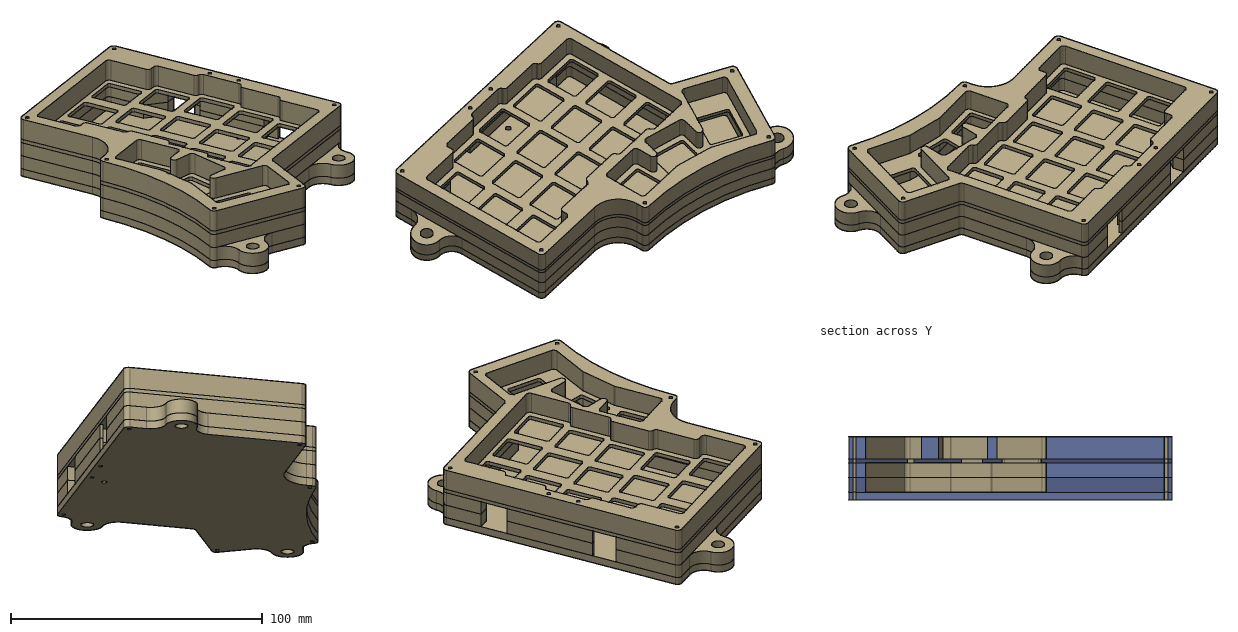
import cadquery as cq
import math

base_height = 3.2
ring_height = 5.8
plate_height = 1.5
bezel_height = 8.9
lower_ring_bottom = base_height
upper_ring_bottom = lower_ring_bottom + ring_height
plate_bottom = upper_ring_bottom + ring_height
bezel_bottom = plate_bottom + plate_height

block_width = 105.2
block_depth = 74.7
wing_tilt = 30
wing_left = 45.6
wing_bottom = -16.5
wing_across = 110.0
wing_along_low = 24.3
wing_along_high = 68.0
front_radius = 110.2
elbow_radius = 12.0
corner_radius = 2.0

key_pitch = 19.0
key_rows = 3
stagger = key_pitch / 8
column_drops = [3, 1, 0, 1, 2]
wall = 4.8
well_clearance = 0.1
well_radius = 1.5
riser_lean = 0.8
window_width = 15.5
window_depth = 14.1
window_radius = 1.0

thumb_keys = [
    ((59.8, -2.1), 0, 1, 0),
    ((81.5, -4.4), 15, 1, -15),
    ((105.4, -6.8), wing_tilt, 1.75, 90 - wing_tilt),
]

screw_diameter = 1.4
screw_inset = 2.4
middle_screw_spacing = 13.1
lug_radius = 6.4
lug_root = 1.4
lug_hole_diameter = 5.1
left_lug_y = 53.3
right_lug_y = 60.3
wing_lug_along = 39.1

left_shoulder_x = 21.2
right_shoulder_x = 92.5
left_opening_x = 28.3
right_opening_x = 88.0
post_left = 43.0
post_right = 72.2
lip_overhang = 4.4
lip_thickness = 1.4

base_hole_diameter = 2.1
base_hole = (63.0, 66.4)


def turned(across, along, tilt):
    """Point (across, along) in axes turned clockwise by tilt degrees about the origin."""
    angle = math.radians(tilt)
    x = across * math.cos(angle) + along * math.sin(angle)
    y = along * math.cos(angle) - across * math.sin(angle)
    return x, y


def wing_point(across, along):
    return turned(across, along, wing_tilt)


def crossing(line_1, line_2):
    """Point where two lines cross, each given by two of its points."""
    (x1, y1), (x2, y2) = line_1
    (x3, y3), (x4, y4) = line_2
    dx1, dy1 = x2 - x1, y2 - y1
    dx2, dy2 = x4 - x3, y4 - y3
    step = ((x3 - x1) * dy2 - (y3 - y1) * dx2) / (dx1 * dy2 - dy1 * dx2)
    return x1 + step * dx1, y1 + step * dy1


def prism(points, bottom, height):
    return cq.Workplane("XY", origin=(0, 0, bottom)).polyline(points).close().extrude(height)


def slab(x_low, x_high, y_low, y_high, bottom, height):
    points = [(x_low, y_low), (x_high, y_low), (x_high, y_high), (x_low, y_high)]
    return prism(points, bottom, height)


def drill(points, diameter, bottom, height):
    plane = cq.Workplane("XY", origin=(0, 0, bottom))
    return plane.pushPoints(points).circle(diameter / 2).extrude(height)


def round_corners(body, points, radius):
    """Round the upright edges of body at the given points."""
    reach = 0.07
    deep = 141.3
    for x, y in points:
        box = cq.selectors.BoxSelector((x - reach, y - reach, -deep), (x + reach, y + reach, deep))
        body = body.edges("|Z").edges(box).fillet(radius)
    return body


block_corners = [(block_width, block_depth), (0, block_depth), (0, 0)]
elbow = (wing_left, 0)
wing_start = (wing_left, wing_bottom)
wing_foot = wing_point(wing_across, wing_along_low)
wing_tip = wing_point(wing_across, wing_along_high)
wing_top_line = (wing_tip, wing_point(0, wing_along_high))
wing_root = crossing(wing_top_line, ((block_width, 0), (block_width, block_depth)))

middle_x = block_width / 2
screw_top = block_depth - screw_inset
screw_across = wing_across - screw_inset
screw_points = [
    (screw_inset, screw_inset),
    (screw_inset, screw_top),
    (middle_x - middle_screw_spacing / 2, screw_top),
    (middle_x + middle_screw_spacing / 2, screw_top),
    (block_width - screw_inset, screw_top),
    (wing_left + screw_inset, wing_bottom + screw_inset),
    wing_point(screw_across, wing_along_low + screw_inset),
    wing_point(screw_across, wing_along_high - screw_inset),
]


def layer(bottom, height):
    blank = (
        cq.Workplane("XY", origin=(0, 0, bottom))
        .moveTo(*wing_start)
        .radiusArc(wing_foot, front_radius)
        .lineTo(*wing_tip)
        .lineTo(*wing_root)
    )
    for corner in block_corners:
        blank = blank.lineTo(*corner)
    blank = blank.lineTo(*elbow).close().extrude(height)
    blank = round_corners(blank, [elbow], elbow_radius)
    outer_corners = [*block_corners, wing_start, wing_foot, wing_tip, wing_root]
    blank = round_corners(blank, outer_corners, corner_radius)
    return blank.cut(drill(screw_points, screw_diameter, bottom, height))


lug_places = [
    ((0, left_lug_y), 180),
    ((block_width, right_lug_y), 0),
    (wing_point(wing_across, wing_lug_along), -wing_tilt),
]


def add_lugs(body, bottom, height):
    inset = lug_radius * (1 - math.sqrt(0.5))
    tab = (
        cq.Workplane("XY")
        .moveTo(0, 2 * lug_radius)
        .threePointArc((inset, lug_radius + inset), (lug_radius, lug_radius))
        .threePointArc((2 * lug_radius, 0), (lug_radius, -lug_radius))
        .threePointArc((inset, -lug_radius - inset), (0, -2 * lug_radius))
        .lineTo(-lug_root, -2 * lug_radius)
        .lineTo(-lug_root, 2 * lug_radius)
        .close()
        .extrude(height)
    )
    tab = tab.cut(drill([(lug_radius, 0)], lug_hole_diameter, 0, height))
    for (x, y), direction in lug_places:
        body = body.union(tab.rotate((0, 0, 0), (0, 0, 1), direction).translate((x, y, bottom)))
    return body


def column_left(column):
    return wall + well_clearance + column * key_pitch


def column_top(column):
    return block_depth - wall - well_clearance - column_drops[column] * stagger


def cell_corners(key):
    """Corners of a thumb key's well: upper left, upper right, lower right, lower left."""
    (x, y), tilt, length, _ = key
    half_width = key_pitch / 2 + well_clearance
    half_length = length * key_pitch / 2 + well_clearance
    offsets = [
        turned(-half_width, half_length, tilt),
        turned(half_width, half_length, tilt),
        turned(half_width, -half_length, tilt),
        turned(-half_width, -half_length, tilt),
    ]
    return [(x + dx, y + dy) for dx, dy in offsets]


UPPER_LEFT, UPPER_RIGHT, LOWER_RIGHT, LOWER_LEFT = range(4)
inner_cell, middle_cell, outer_cell = [cell_corners(key) for key in thumb_keys]


def cell_side(cell, start, end):
    return cell[start], cell[end]


thumb_front = [
    inner_cell[LOWER_LEFT],
    crossing(
        cell_side(inner_cell, LOWER_LEFT, LOWER_RIGHT),
        cell_side(middle_cell, LOWER_LEFT, LOWER_RIGHT),
    ),
    crossing(
        cell_side(middle_cell, LOWER_LEFT, LOWER_RIGHT),
        cell_side(outer_cell, LOWER_LEFT, LOWER_RIGHT),
    ),
    outer_cell[LOWER_RIGHT],
]


def well_edge(heights, outward):
    """Stepped edge of the main well from left to right; outward is 1 at the top, -1 at the bottom."""
    last = len(heights) - 1
    points = [(column_left(0) - well_clearance, heights[0])]
    for column in range(last):
        rise = heights[column + 1] - heights[column]
        x = column_left(column + 1) - math.copysign(well_clearance, rise) * outward
        lean = riser_lean if abs(rise) < 2 * well_radius else 0
        points.append((x - lean / 2, heights[column]))
        points.append((x + lean / 2, heights[column + 1]))
    points.append((column_left(last + 1) + well_clearance, heights[last]))
    return points


def main_well(bottom, height):
    columns = range(len(column_drops))
    tops = [column_top(column) + well_clearance for column in columns]
    depth = key_rows * key_pitch + 2 * well_clearance
    bottoms = [top - depth for top in tops]
    points = [*well_edge(tops, 1), *reversed(well_edge(bottoms, -1))]
    return prism(points, bottom, height).edges("|Z").fillet(well_radius)


def thumb_well(bottom, height):
    outer_wedge = crossing(
        cell_side(middle_cell, UPPER_RIGHT, LOWER_RIGHT),
        cell_side(outer_cell, UPPER_LEFT, LOWER_LEFT),
    )
    inner_wedge = crossing(
        cell_side(inner_cell, UPPER_RIGHT, LOWER_RIGHT),
        cell_side(middle_cell, UPPER_LEFT, LOWER_LEFT),
    )
    points = [
        *thumb_front,
        outer_cell[UPPER_RIGHT],
        outer_cell[UPPER_LEFT],
        outer_wedge,
        middle_cell[UPPER_RIGHT],
        middle_cell[UPPER_LEFT],
        inner_wedge,
        inner_cell[UPPER_RIGHT],
        inner_cell[UPPER_LEFT],
    ]
    return prism(points, bottom, height).edges("|Z").fillet(well_radius)


inside_top = block_depth - wall
inside_right = block_width - wall
left_shoulder_y = column_top(0) + well_clearance
right_shoulder_y = column_top(len(column_drops) - 1) + well_clearance


def cavity(bottom, height):
    """Open inside of a ring, below all keys."""
    inner_root = crossing(
        cell_side(outer_cell, UPPER_LEFT, UPPER_RIGHT),
        ((inside_right, 0), (inside_right, block_depth)),
    )
    round_points = [
        *thumb_front,
        outer_cell[UPPER_RIGHT],
        inner_root,
        (inside_right, right_shoulder_y),
        (wall, left_shoulder_y),
        (wall, wall),
        (inner_cell[LOWER_LEFT][0], wall),
    ]
    shoulders = [
        (right_shoulder_x, right_shoulder_y),
        (right_shoulder_x - (inside_top - right_shoulder_y), inside_top),
        (left_shoulder_x + (inside_top - left_shoulder_y), inside_top),
        (left_shoulder_x, left_shoulder_y),
    ]
    split = round_points.index((wall, left_shoulder_y))
    points = [*round_points[:split], *shoulders, *round_points[split:]]
    return round_corners(prism(points, bottom, height), round_points, well_radius)


def port_openings(bottom, height):
    """Two openings through the back wall, stepped where the post keeps its lips."""
    lip_y = block_depth - lip_thickness
    inside_y = inside_top - wall
    left_recess = slab(left_opening_x, post_left, inside_y, lip_y, bottom, height)
    left_mouth = slab(left_opening_x, post_left - lip_overhang, inside_y, block_depth, bottom, height)
    right_recess = slab(post_right, right_opening_x, inside_y, lip_y, bottom, height)
    right_mouth = slab(post_right + lip_overhang, right_opening_x, inside_y, block_depth, bottom, height)
    return left_recess.union(left_mouth).union(right_recess).union(right_mouth)


def split_ring(blank, bottom):
    """Frame and port post that remain of a ring's blank."""
    open_blank = blank.cut(cavity(bottom, ring_height)).cut(port_openings(bottom, ring_height))
    post, frame = sorted(open_blank.solids().vals(), key=lambda solid: solid.Volume())
    opening_end = (right_opening_x, right_shoulder_y + right_shoulder_x - right_opening_x)
    frame = round_corners(cq.Workplane(frame), [opening_end], well_radius)
    return frame.val(), post


def make_base():
    base = add_lugs(layer(0, base_height), 0, base_height)
    return base.cut(drill([base_hole], base_hole_diameter, 0, base_height))


def window(centre, turn):
    return (
        cq.Workplane("XY")
        .rect(window_width, window_depth)
        .extrude(plate_height)
        .edges("|Z")
        .fillet(window_radius)
        .rotate((0, 0, 0), (0, 0, 1), turn)
        .translate((*centre, plate_bottom))
    )


def make_plate():
    plate = layer(plate_bottom, plate_height)
    for column in range(len(column_drops)):
        x = column_left(column) + key_pitch / 2
        for row in range(key_rows):
            y = column_top(column) - (row + 0.5) * key_pitch
            plate = plate.cut(window((x, y), 0))
    for centre, _, _, turn in thumb_keys:
        plate = plate.cut(window(centre, turn))
    return plate


def make_bezel():
    bezel = layer(bezel_bottom, bezel_height)
    bezel = bezel.cut(main_well(bezel_bottom, bezel_height))
    return bezel.cut(thumb_well(bezel_bottom, bezel_height))


base = make_base()
lower_blank = add_lugs(layer(lower_ring_bottom, ring_height), lower_ring_bottom, ring_height)
lower_frame, lower_post = split_ring(lower_blank, lower_ring_bottom)
upper_frame, upper_post = split_ring(layer(upper_ring_bottom, ring_height), upper_ring_bottom)
plate = make_plate()
bezel = make_bezel()

result = cq.Compound.makeCompound(
    [base.val(), lower_frame, lower_post, upper_frame, upper_post, plate.val(), bezel.val()]
)